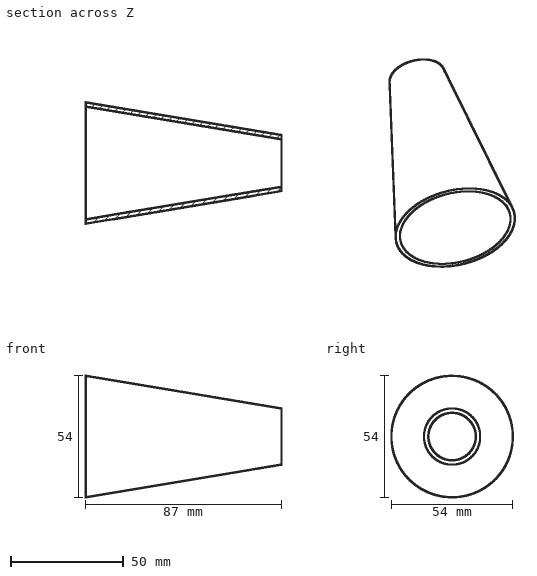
import cadquery as cq

length = 87.0
wide_diameter = 54.0
narrow_diameter = 25.0
wall = 2.0

wide_radius = wide_diameter / 2
narrow_radius = narrow_diameter / 2

wall_section = (
    cq.Workplane("XY")
    .moveTo(0, wide_radius - wall)
    .lineTo(0, wide_radius)
    .lineTo(length, narrow_radius)
    .lineTo(length, narrow_radius - wall)
    .close()
)

result = wall_section.revolve(360, (0, 0, 0), (1, 0, 0))